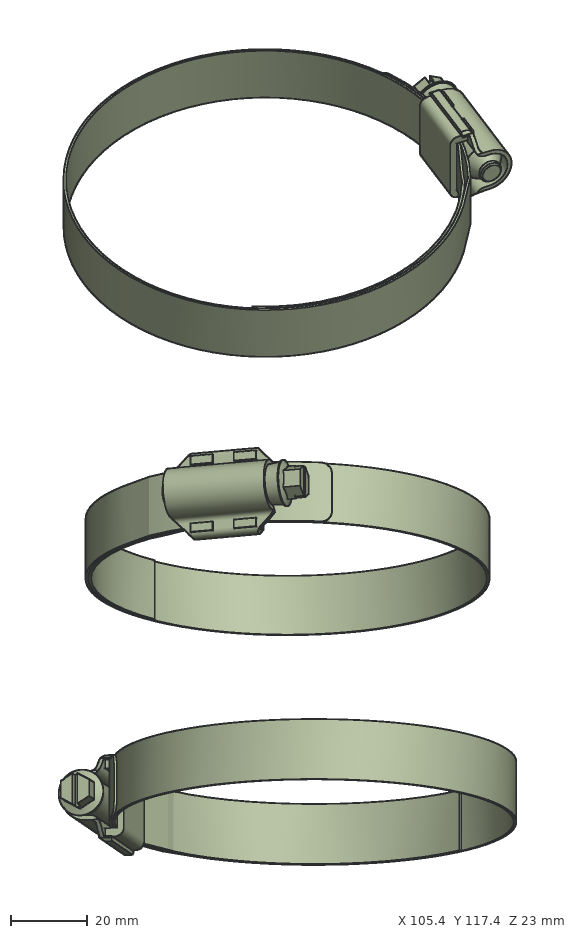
import cadquery as cq
import math


band_radius = 52.69
band_thickness = 0.7
layer_pitch = 0.78
band_width = 16.0
inner_end_angle = -30.0
inner_layer_end_angle = 63.2
dip_angle = 66.0
dip_depth = 0.3
ring_start_angle = 79.0
ring_end_angle = 57.0
outer_layer_start_angle = 65.0
outer_end_angle = 120.0
outer_end_corner = 3.0

housing_length = 27.5
housing_radius = 6.5
housing_top = 64.7
sheet = 1.2
neck_radius = 1.3
flange_face = 55.55
flange_reach = 11.5
lip_bottom = 52.4
lip_radius = 1.6
corner_reach = 20.3
lip_length = 19.4
lip_chamfer = 0.8

axis_y = housing_top - housing_radius
bore_radius = housing_radius - sheet
neck_center_y = flange_face + neck_radius
neck_center_z = housing_radius + neck_radius
flange_underside = flange_face - sheet
lip_inside = flange_reach - sheet

bridge_length = 17.9
bridge_bottom = 49.2
bridge_floor = 1.85
bridge_corner = 2.3
tab_inner_x = 2.9
tab_top = 56.1

hex_flats = 7.8
hex_end = -22.9
slot_width = 1.4
slot_depth = 2.4
head_face = -18.5
head_rim_start = -17.7
head_rim_end = -17.4
head_radius = 6.1
collar_radius = 5.7
taper_start = 10.1
tip_start = 13.8
tip_end = 15.15
tip_radius = 3.0
tip_chamfer = 0.4

hex_corners = hex_flats / math.cos(math.pi / 6)


def polar(radius, angle):
    """Point in the ring plane at an angle in degrees."""
    turn = math.radians(angle)
    return radius * math.cos(turn), radius * math.sin(turn)


def arc_between(outline, radius, start, end):
    """Extend an outline along a circle about the ring axis, from its current point at the start angle."""
    return outline.threePointArc(polar(radius, (start + end) / 2), polar(radius, end))


def make_band():
    full_turn = 360.0
    inner_radius = band_radius - layer_pitch
    outer_radius = band_radius + layer_pitch
    ring_end = full_turn + ring_end_angle
    outer_start = full_turn + outer_layer_start_angle
    outer_end = full_turn + outer_end_angle

    outline = cq.Workplane("XY").workplane(offset=-band_width / 2)
    outline = outline.moveTo(*polar(inner_radius, inner_end_angle))
    outline = arc_between(outline, inner_radius, inner_end_angle, inner_layer_end_angle)
    outline = outline.lineTo(*polar(inner_radius - dip_depth, dip_angle))
    outline = outline.lineTo(*polar(band_radius, ring_start_angle))
    outline = arc_between(outline, band_radius, ring_start_angle, ring_end)
    outline = outline.lineTo(*polar(outer_radius, outer_start))
    outline = arc_between(outline, outer_radius, outer_start, outer_end)

    inset = band_thickness
    outline = outline.lineTo(*polar(outer_radius - inset, outer_end))
    outline = arc_between(outline, outer_radius - inset, outer_end, outer_start)
    outline = outline.lineTo(*polar(band_radius - inset, ring_end))
    outline = arc_between(outline, band_radius - inset, ring_end, ring_start_angle)
    outline = outline.lineTo(*polar(inner_radius - dip_depth - inset, dip_angle))
    outline = outline.lineTo(*polar(inner_radius - inset, inner_layer_end_angle))
    outline = arc_between(outline, inner_radius - inset, inner_layer_end_angle, inner_end_angle)
    band = outline.close().extrude(band_width)

    tail_x, tail_y = polar(outer_radius - inset / 2, outer_end)
    reach = band_thickness
    around_tail = cq.selectors.BoxSelector(
        (tail_x - reach, tail_y - reach, -band_width),
        (tail_x + reach, tail_y + reach, band_width),
    )
    return band.edges(around_tail).edges("#Z").fillet(outer_end_corner)


def make_housing():
    bend = math.sqrt(0.5)
    neck_outer = bend * neck_radius
    neck_inner = bend * (neck_radius + sheet)
    lip_bend = lip_radius * (1 - bend)
    half = (
        cq.Workplane("YZ", origin=(-housing_length / 2, 0, 0))
        .moveTo(housing_top, 0)
        .threePointArc(
            (axis_y + bend * housing_radius, bend * housing_radius),
            (axis_y, housing_radius),
        )
        .lineTo(neck_center_y, housing_radius)
        .threePointArc(
            (neck_center_y - neck_outer, neck_center_z - neck_outer),
            (flange_face, neck_center_z),
        )
        .lineTo(flange_face, flange_reach - lip_radius)
        .threePointArc(
            (flange_face - lip_bend, flange_reach - lip_bend),
            (flange_face - lip_radius, flange_reach),
        )
        .lineTo(lip_bottom, flange_reach)
        .lineTo(lip_bottom, lip_inside)
        .lineTo(flange_underside, lip_inside)
        .lineTo(flange_underside, neck_center_z)
        .threePointArc(
            (neck_center_y - neck_inner, neck_center_z - neck_inner),
            (neck_center_y, bore_radius),
        )
        .lineTo(axis_y, bore_radius)
        .threePointArc(
            (axis_y + bend * bore_radius, bend * bore_radius),
            (axis_y + bore_radius, 0),
        )
        .close()
        .extrude(housing_length)
    )
    sheet_body = half.union(half.mirror("XY"))

    lip_half = lip_length / 2
    trim_corner = [
        (corner_reach, 0),
        (lip_half, corner_reach - lip_half),
        (lip_half, flange_reach - lip_chamfer),
        (lip_half - lip_chamfer, flange_reach),
    ]
    trim = (
        cq.Workplane("XZ", origin=(0, housing_top, 0))
        .polyline(trim_corner + [(0, flange_reach), (0, 0)])
        .close()
        .extrude(housing_top - lip_bottom)
    )
    trim = trim.union(trim.mirror("YZ"))
    trim = trim.union(trim.mirror("XY"))
    return sheet_body.intersect(trim)


def make_bridge():
    height = flange_underside - bridge_bottom
    outer = (
        cq.Workplane("XY")
        .box(bridge_length, height, 2 * lip_inside, centered=(True, False, True))
        .translate((0, bridge_bottom, 0))
        .edges("|X and <Y")
        .fillet(bridge_corner)
    )
    channel = (
        cq.Workplane("XY")
        .box(bridge_length, height, band_width, centered=(True, False, True))
        .translate((0, bridge_bottom + bridge_floor, 0))
    )
    bridge = outer.cut(channel)
    tab_length = bridge_length / 2 - tab_inner_x
    tab_width = lip_inside - band_width / 2
    for side_x in (-1, 1):
        for side_z in (-1, 1):
            tab = cq.Workplane("XY").box(tab_length, tab_top - flange_underside, tab_width)
            bridge = bridge.union(
                tab.translate(
                    (
                        side_x * (tab_inner_x + tab_length / 2),
                        (tab_top + flange_underside) / 2,
                        side_z * (band_width + tab_width) / 2,
                    )
                )
            )
    return bridge


def make_screw():
    profile = [
        (head_face, 0),
        (head_face, hex_flats / 2),
        (head_rim_start, head_radius),
        (head_rim_end, head_radius),
        (head_rim_end, collar_radius),
        (-housing_length / 2, bore_radius),
        (taper_start, bore_radius),
        (tip_start, tip_radius),
        (tip_end - tip_chamfer, tip_radius),
        (tip_end, tip_radius - tip_chamfer),
        (tip_end, 0),
    ]
    body = (
        cq.Workplane("XY", origin=(0, axis_y, 0))
        .polyline(profile)
        .close()
        .revolve(360, (0, 0, 0), (1, 0, 0))
    )
    drive = (
        cq.Workplane("YZ", origin=(hex_end, axis_y, 0))
        .transformed(rotate=(0, 0, 90))
        .polygon(6, hex_corners)
        .extrude(head_rim_start - hex_end)
    )
    slot = (
        cq.Workplane("XY")
        .box(slot_depth, slot_width, hex_corners, centered=(False, True, True))
        .translate((hex_end, axis_y, 0))
    )
    return body.union(drive).cut(slot)


screw = make_screw()
bridge = make_bridge()
band = make_band().cut(screw)
housing = make_housing().cut(bridge)

bodies = [band, bridge, housing, screw]
result = cq.Compound.makeCompound([body.solids().val() for body in bodies])